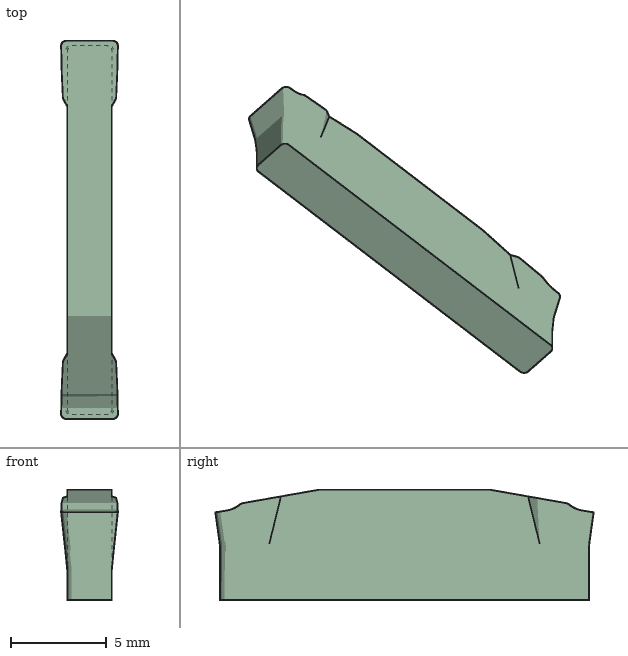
import cadquery as cq
import math

shank_width = 2.34
shank_length = 19.32
corner_radius = 0.3

height = 5.78
level_half_length = 4.51
ramp_angle = 10.0

overall_length = 19.82
tip_height = 4.60
land_length = 0.60
land_angle = 9.0
groove_end_y = 8.59
groove_end_height = 5.03
crest_y = 8.47

relief_angle = 7.9
relief_blend_radius = 3.4

foot_y = 7.07
foot_height = 2.98
flank_draft = math.tan(math.radians(5.77))
flank_taper = math.tan(math.radians(3.6))
step_slope = math.tan(math.radians(30.0))
step_lean = 0.246
edge_slope = math.tan(math.radians(14.0))
edge_lean = 0.445

half_shank = shank_width / 2
tip_y = overall_length / 2
end_y = shank_length / 2
land_end_y = tip_y - land_length
land_end_height = tip_height + land_length * math.tan(math.radians(land_angle))
relief_foot = tip_height - (tip_y - end_y) / math.tan(math.radians(relief_angle))

head_blank_width = 4.0
head_back_y = 6.0
cutter_size = 30.0
cutter_depth = 5.0


def ramp_height(y):
    """Height of the ramp at distance y from the middle of the bar."""
    return height - (y - level_half_length) * math.tan(math.radians(ramp_angle))


def relief_blend_points():
    """Start and end of the arc joining the upright end face to the relief face."""
    angle = math.radians(relief_angle)
    tangent = relief_blend_radius * math.tan(angle / 2)
    start = (end_y, relief_foot - tangent)
    end = (end_y + tangent * math.sin(angle), relief_foot + tangent * math.cos(angle))
    return start, end


def make_head_blank():
    """Head with its finished side outline, still too wide."""
    blend_start, blend_end = relief_blend_points()
    outline = (
        cq.Workplane("YZ")
        .moveTo(head_back_y, 0)
        .lineTo(end_y, 0)
        .lineTo(*blend_start)
        .tangentArcPoint(blend_end, relative=False)
        .lineTo(tip_y, tip_height)
        .lineTo(land_end_y, land_end_height)
        .tangentArcPoint((groove_end_y, groove_end_height), relative=False)
        .lineTo(crest_y, ramp_height(crest_y))
        .lineTo(head_back_y, ramp_height(head_back_y))
        .close()
    )
    return outline.extrude(head_blank_width / 2, both=True)


def side_cutter(side, along_y, along_z):
    """Block outside the plane |x| = half_shank + along_y * (y - foot_y) + along_z * (z - foot_height)."""
    plane = cq.Plane(
        origin=(side * half_shank, foot_y, foot_height),
        xDir=(side * along_y, 1, 0),
        normal=(side, -along_y, -along_z),
    )
    return cq.Workplane(plane).rect(cutter_size, cutter_size).extrude(cutter_depth)


def make_head():
    """Head at the +Y end, with drafted flanks, rear steps and rounded front corners."""
    head = make_head_blank()
    for side in (-1, 1):
        head = head.cut(side_cutter(side, flank_taper, flank_draft))
    tip_zone = cq.selectors.BoxSelector(
        (-head_blank_width, end_y - corner_radius, 0),
        (head_blank_width, tip_y, tip_height),
    )
    head = head.edges(tip_zone).edges("not(#Z or |X)").fillet(corner_radius)
    for side in (-1, 1):
        head = head.cut(side_cutter(side, step_slope, step_slope * step_lean))
        head = head.cut(side_cutter(side, edge_slope, edge_slope * edge_lean))
    return head


def make_shank():
    """Bar with rounded upright corners, ramped towards both ends and kept below the chip grooves."""
    bar = (
        cq.Workplane("XY")
        .box(shank_width, shank_length, height, centered=(True, True, False))
        .edges("|Z")
        .fillet(corner_radius)
    )
    blend_start, _ = relief_blend_points()
    half_outline = [
        (end_y, 0),
        blend_start,
        (crest_y, ramp_height(crest_y)),
        (level_half_length, height),
    ]
    other_half = [(-y, z) for y, z in reversed(half_outline)]
    envelope = cq.Workplane("YZ").polyline(half_outline + other_half).close().extrude(shank_width, both=True)
    return bar.intersect(envelope)


front_head = make_head().mirror("XZ")
back_head = make_head()
result = make_shank().union(back_head).union(front_head).clean()